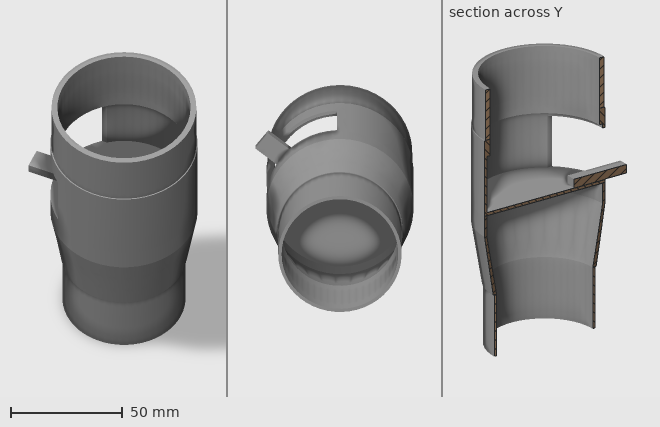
import cadquery as cq

outlet_top = 30.1
cone_top = 60.0
reducer_top = 70.0
floor_top = 71.7
collar_bottom = 99.0
housing_top = 107.0
overall_height = 132.0

body_diameter = 66.0
chamber_diameter = 63.0
inlet_diameter = 65.0
inlet_bore = 59.7
outlet_diameter = 55.3
outlet_bore = 52.3
cone_end_diameter = 56.4

window_height = 25.3
window_width = 50.0

handle_width = 9.2
handle_thickness = 4.4
handle_inner_x = -15.8
handle_outer_x = -44.6


def cylinder(diameter, bottom, top):
    """Solid cylinder on the Z axis between two heights."""
    return cq.Workplane("XY").workplane(offset=bottom).circle(diameter / 2).extrude(top - bottom)


def tube(outer, bore, bottom, top):
    """Plain tube on the Z axis between two heights."""
    return cylinder(outer, bottom, top).cut(cylinder(bore, bottom, top))


def make_housing():
    """Cup with a closed floor, a narrower collar at the top and a side window."""
    body = cylinder(body_diameter, reducer_top, housing_top)
    body = body.cut(cylinder(chamber_diameter, floor_top, collar_bottom))
    body = body.cut(cylinder(inlet_bore, collar_bottom, housing_top))
    window = cq.Workplane("XY").box(
        body_diameter / 2, window_width, window_height, centered=(False, True, False)
    ).translate((-body_diameter / 2, 0, floor_top))
    return body.cut(window)


def make_reducer():
    """Hollow sleeve that tapers down to the outlet tube."""
    body_radius = body_diameter / 2
    chamber_radius = chamber_diameter / 2
    profile = (
        cq.Workplane("XZ")
        .moveTo(outlet_bore / 2, outlet_top)
        .lineTo(cone_end_diameter / 2, outlet_top)
        .lineTo(body_radius, cone_top)
        .lineTo(body_radius, reducer_top)
        .lineTo(chamber_radius, reducer_top)
        .lineTo(chamber_radius, cone_top)
        .close()
    )
    return profile.revolve(360, (0, 0, 0), (0, 1, 0))


def make_handle():
    """Flat bar that reaches out through the window."""
    length = handle_inner_x - handle_outer_x
    return cq.Workplane("XY").box(
        length, handle_width, handle_thickness, centered=(False, True, False)
    ).translate((handle_outer_x, 0, floor_top))


inlet_tube = tube(inlet_diameter, inlet_bore, housing_top, overall_height)
housing = make_housing()
reducer = make_reducer()
outlet_tube = tube(outlet_diameter, outlet_bore, 0, outlet_top)
handle = make_handle()

result = cq.Compound.makeCompound(
    [inlet_tube.val(), housing.val(), reducer.val(), outlet_tube.val(), handle.val()]
)